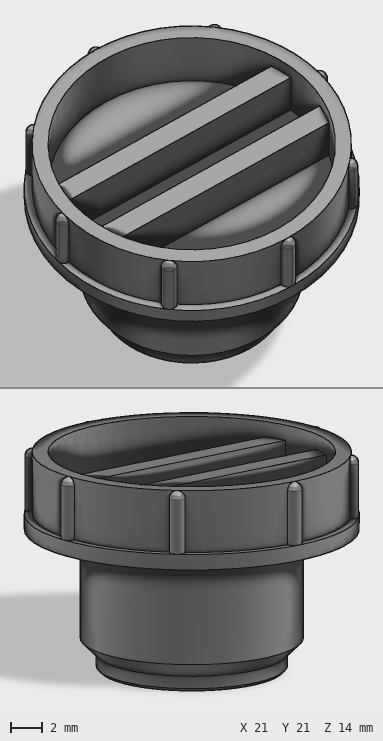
import cadquery as cq

total_height = 14.0
flange_bottom = 9.0
flange_thickness = 1.0
flange_top = flange_bottom + flange_thickness

stem_diameter = 14.0
tip_diameter = 12.0
tip_height = 1.0
tip_chamfer = 0.2
cone_height = (stem_diameter - tip_diameter) / 2

flange_diameter = 21.0
cup_diameter = 20.0
recess_diameter = 18.0
recess_floor = flange_top

rib_count = 8
rib_radius = (flange_diameter - cup_diameter) / 2

bar_gap = 3.0
bar_thickness = 1.5
bar_drop = 1.0
bar_top = total_height - bar_drop


def make_body():
    """Plug, flange and solid cup as one turned profile about Z."""
    tip_radius = tip_diameter / 2
    stem_radius = stem_diameter / 2
    flange_radius = flange_diameter / 2
    cup_radius = cup_diameter / 2
    profile = [
        (0, 0),
        (tip_radius - tip_chamfer, 0),
        (tip_radius, tip_chamfer),
        (tip_radius, tip_height),
        (stem_radius, tip_height + cone_height),
        (stem_radius, flange_bottom),
        (flange_radius, flange_bottom),
        (flange_radius, flange_top),
        (cup_radius, flange_top),
        (cup_radius, total_height),
        (0, total_height),
    ]
    return cq.Workplane("XZ").polyline(profile).close().revolve(360, (0, 0), (0, 1))


def make_recess():
    """Round pocket in the top of the cup."""
    depth = total_height - recess_floor
    return cq.Workplane("XY").workplane(offset=recess_floor).circle(recess_diameter / 2).extrude(depth)


def make_bars():
    """Two bars that span the recess and end on its round wall."""
    bar_offset = (bar_gap + bar_thickness) / 2
    bars = (
        cq.Workplane("XY")
        .workplane(offset=recess_floor)
        .pushPoints([(-bar_offset, 0), (bar_offset, 0)])
        .rect(bar_thickness, recess_diameter)
        .extrude(bar_top - recess_floor)
    )
    return bars.intersect(make_recess())


def make_rib(angle):
    """Round rib with a domed top, centred on the outer face of the cup."""
    dome_base = total_height - rib_radius
    rib = (
        cq.Workplane("XZ", origin=(cup_diameter / 2, 0, 0))
        .moveTo(0, flange_top)
        .lineTo(rib_radius, flange_top)
        .lineTo(rib_radius, dome_base)
        .radiusArc((0, total_height), -rib_radius)
        .close()
        .revolve(360, (0, 0), (0, 1))
    )
    return rib.rotate((0, 0, 0), (0, 0, 1), angle)


result = make_body()
for index in range(rib_count):
    result = result.union(make_rib(index * 360 / rib_count))
result = result.cut(make_recess()).union(make_bars())